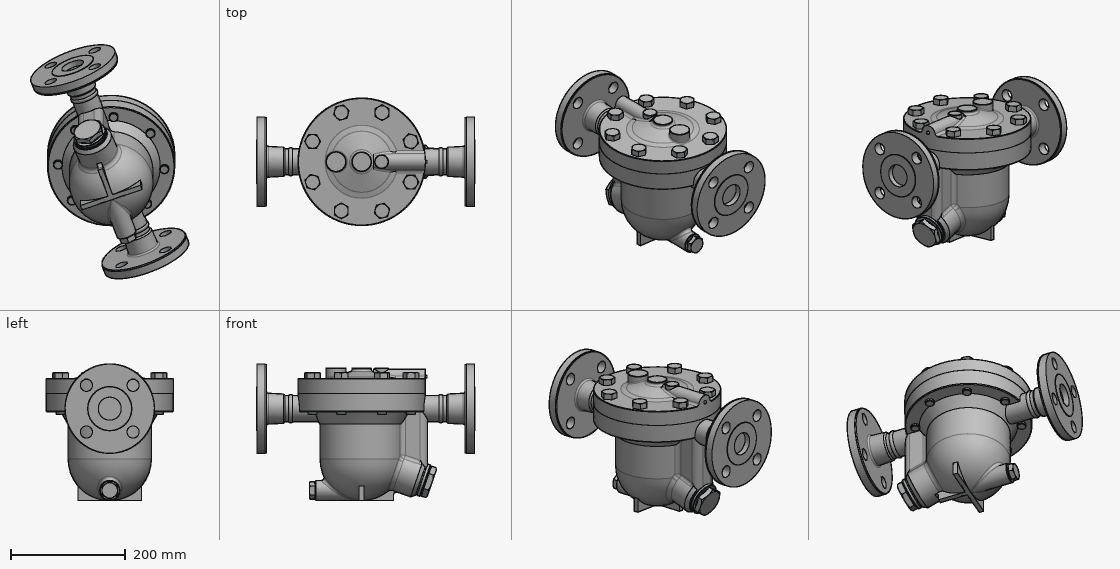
import cadquery as cq
import math


cover_radius = 111.0
cover_top = 52.4
joint_height = 26.4
body_flange_radius = 110.8
cover_rim_chamfer = 1.0
body_flange_bottom = -5.6
body_flange_chamfer = 1.5
body_radius = 72.8
body_floor = -160.0
dome_height = body_floor + body_radius
neck_top_radius = 85.5
neck_bottom = -27.0

cone_foot_radius = 63.5
cone_edge_radius = 53.2
cone_edge_height = cover_top + 2.4
cone_angle = 16.3
plug_top = 71.0
plug_chamfer = 0.8
center_plug_radius = 17.0
center_plug_fillet = 4.0

side_plug_x = -44.6
side_plug_radius = 17.5
side_plug_fillet = 1.5
tube_radius = 14.7
tube_axis_height = cover_top + 1.6
tube_start = 20.2
tube_fillet = 5.0
tube_boss_x = 34.6
tube_boss_radius = 12.0
tube_end_bump_radius = 3.0
tube_end_bump_height = 55.6

bolt_count = 8
bolt_circle_radius = 92.5
bolt_head_flats = 24.0
bolt_head_height = 10.4
bolt_head_turn = -7.5
bolt_radius = 8.0
bolt_end = -10.0
bolt_end_chamfer = 1.0

pipe_mid_x = 7.1
face_to_face = 380.0
flange_radius = 78.0
flange_thickness = 17.6
flange_step = 2.5
flange_step_height = 1.0
raised_face_radius = 38.5
raised_face_height = 0.6
bore_diameter = 40.0
bore_depth = 10.5
flange_hole_count = 4
flange_hole_diameter = 21.0
flange_hole_circle_radius = 57.4
hub_base_radius = 27.1
hub_end_radius = 25.75
hub_end = 46.9
hub_taper_end = 49.7
hub_fillet = 2.9
pipe_radius = 23.0
weld_start = 56.0
weld_end = 62.9
weld_radius = 24.75

riser_half_width = 23.0
riser_end_x = 114.9
riser_end_fillet = 13.2
riser_top_chamfer_height = 11.0
riser_top_chamfer = 4.0
junction_fillet = 10.0

strainer_angle = 19.0
strainer_radius = 35.0
strainer_body_end = 102.0
strainer_shoulder_end = 109.0
strainer_shoulder_radius = 30.0
strainer_gasket_radius = 27.5
strainer_gasket_end = 111.5
strainer_cap_radius = 29.0
strainer_cap_end = 117.0
strainer_neck_radius = 22.5
strainer_hex_start = 119.0
strainer_hex_end = 129.3
strainer_hex_flats = 48.0

drain_radius = 17.5
drain_lift = 0.2
drain_height = body_floor + drain_radius + drain_lift
drain_face_x = -80.0
drain_chamfer = 1.0
drain_fillet = 5.0
drain_neck_radius = 12.0
drain_neck_length = 1.2
drain_hex_flats = 27.0
drain_hex_length = 9.7

foot_thickness = 8.5
foot_height = 26.0
foot_half_span = 55.5
foot_fillet = 5.0


def revolved(profile):
    """Solid of revolution about Z from a closed (radius, height) profile."""
    return profile.close().revolve(360, (0, 0, 0), (0, 1, 0))


def hex_head(across_flats, height):
    """Hexagonal head standing on Z = 0, top corners chamfered at 30 degrees."""
    corner_radius = across_flats / math.sqrt(3)
    corner_drop = (corner_radius - across_flats / 2) * math.tan(math.radians(30))
    prism = cq.Workplane("XY").polygon(6, 2 * corner_radius).extrude(height)
    envelope = revolved(
        cq.Workplane("XZ")
        .lineTo(corner_radius, 0)
        .lineTo(corner_radius, height - corner_drop)
        .lineTo(across_flats / 2, height)
        .lineTo(0, height)
    )
    return prism.intersect(envelope)


def make_bowl():
    """Cylindrical bowl with a hemispherical bottom."""
    dome_diagonal = body_radius * math.sqrt(0.5)
    return revolved(
        cq.Workplane("XZ")
        .moveTo(0, body_floor)
        .threePointArc((dome_diagonal, dome_height - dome_diagonal), (body_radius, dome_height))
        .lineTo(body_radius, joint_height)
        .lineTo(0, joint_height)
    )


def make_body_flange():
    """Bolting flange of the body with its conical neck."""
    return revolved(
        cq.Workplane("XZ")
        .moveTo(0, neck_bottom)
        .lineTo(body_radius, neck_bottom)
        .lineTo(neck_top_radius, body_flange_bottom)
        .lineTo(body_flange_radius - body_flange_chamfer, body_flange_bottom)
        .lineTo(body_flange_radius, body_flange_bottom + body_flange_chamfer)
        .lineTo(body_flange_radius, joint_height)
        .lineTo(0, joint_height)
    )


def make_cover_plate():
    """Cover disc with the flatter conical step around the foot of the cone."""
    return revolved(
        cq.Workplane("XZ")
        .moveTo(0, joint_height)
        .lineTo(cover_radius, joint_height)
        .lineTo(cover_radius, cover_top - cover_rim_chamfer)
        .lineTo(cover_radius - cover_rim_chamfer, cover_top)
        .lineTo(cone_foot_radius, cover_top)
        .lineTo(cone_edge_radius, cone_edge_height)
        .lineTo(cone_edge_radius, joint_height + cone_edge_height - cover_top)
        .lineTo(0, joint_height + cone_edge_height - cover_top)
    )


def make_cone():
    """Cone with the central plug at its peak, running on down inside the cover plate."""
    slope = math.tan(math.radians(cone_angle))
    plug_foot_radius = center_plug_radius + center_plug_fillet
    plug_foot = cone_edge_height + (cone_edge_radius - plug_foot_radius) * slope
    cone_end = cone_edge_height - (cover_radius - cone_edge_radius) * slope
    return revolved(
        cq.Workplane("XZ")
        .moveTo(0, plug_top)
        .lineTo(center_plug_radius - plug_chamfer, plug_top)
        .lineTo(center_plug_radius, plug_top - plug_chamfer)
        .lineTo(center_plug_radius, plug_foot + center_plug_fillet)
        .tangentArcPoint((plug_foot_radius, plug_foot), relative=False)
        .lineTo(cover_radius, cone_end)
        .lineTo(cover_radius, joint_height)
        .lineTo(0, joint_height)
    )


def make_cone_with_tube():
    """Cone with the round-topped tube filleted onto it."""
    tube = (
        cq.Workplane("YZ", origin=(tube_start, 0, 0))
        .moveTo(-tube_radius, joint_height)
        .lineTo(-tube_radius, tube_axis_height)
        .threePointArc((0, tube_axis_height + tube_radius), (tube_radius, tube_axis_height))
        .lineTo(tube_radius, joint_height)
        .close()
        .extrude(cover_radius)
    )
    seam_zone = cq.selectors.BoxSelector(
        (tube_start + tube_fillet, -cover_radius, joint_height),
        (cover_radius, cover_radius, plug_top),
    )
    joined = make_cone().union(tube)
    seams = joined.edges("%BSPLINE or %HYPERBOLA").edges(seam_zone)
    return seams.fillet(tube_fillet)


def make_top_boss(x, radius):
    """Round boss rising from inside the cover to the plug height."""
    boss = cq.Workplane("XY", origin=(x, 0, joint_height)).circle(radius)
    return boss.extrude(plug_top - joint_height).faces(">Z").chamfer(plug_chamfer)


def make_tube_on_flat():
    """Outer stretch of the tube, with concave fillets down to the flat of the cover."""
    fillet_rise = cover_top + tube_fillet - tube_axis_height
    center_distance = tube_radius + tube_fillet
    fillet_y = math.sqrt(center_distance**2 - fillet_rise**2)
    touch_y = fillet_y * tube_radius / center_distance
    touch_z = tube_axis_height + fillet_rise * tube_radius / center_distance
    mid_angle = (math.pi / 2 + math.atan2(fillet_rise, fillet_y)) / 2
    mid_y = fillet_y - tube_fillet * math.cos(mid_angle)
    mid_z = cover_top + tube_fillet - tube_fillet * math.sin(mid_angle)
    return (
        cq.Workplane("YZ", origin=(cone_edge_radius, 0, 0))
        .moveTo(-fillet_y, joint_height)
        .lineTo(-fillet_y, cover_top)
        .threePointArc((-mid_y, mid_z), (-touch_y, touch_z))
        .threePointArc((0, tube_axis_height + tube_radius), (touch_y, touch_z))
        .threePointArc((mid_y, mid_z), (fillet_y, cover_top))
        .lineTo(fillet_y, joint_height)
        .close()
        .extrude(cover_radius)
    )


def make_cover():
    """Cover plate, cone and tube trimmed flush with the rim, with the small bosses on top."""
    rim_limit = (
        cq.Workplane("XY", origin=(0, 0, joint_height))
        .circle(cover_radius)
        .extrude(plug_top - joint_height)
    )
    cover = make_cone_with_tube().union(make_tube_on_flat()).intersect(rim_limit)
    cover = cover.union(make_cover_plate())
    cover = cover.union(make_top_boss(tube_boss_x, tube_boss_radius))
    cover = cover.union(make_top_boss(side_plug_x, side_plug_radius))
    side_plug_zone = cq.selectors.BoxSelector(
        (side_plug_x - side_plug_radius, -side_plug_radius, cover_top),
        (side_plug_x + side_plug_radius, side_plug_radius, plug_top - 2 * plug_chamfer),
    )
    cover = cover.edges(side_plug_zone).edges("not %Line").fillet(side_plug_fillet)
    bump = cq.Workplane("XY").sphere(tube_end_bump_radius)
    return cover.union(bump.translate((cover_radius, 0, tube_end_bump_height)))


def make_cover_bolts():
    """Ring of hexagon bolts whose ends stand out below the body flange."""
    bolt = (
        cq.Workplane("XY", origin=(0, 0, bolt_end))
        .circle(bolt_radius)
        .extrude(cover_top - bolt_end)
        .faces("<Z")
        .chamfer(bolt_end_chamfer)
    )
    head = hex_head(bolt_head_flats, bolt_head_height)
    head = head.rotate((0, 0, 0), (0, 0, 1), 30 + bolt_head_turn)
    bolt = bolt.union(head.translate((0, 0, cover_top)))
    bolt = bolt.translate((bolt_circle_radius, 0, 0))
    pitch = 360 / bolt_count
    bolts = cq.Workplane("XY")
    for i in range(bolt_count):
        bolts = bolts.union(bolt.rotate((0, 0, 0), (0, 0, 1), (i + 0.5) * pitch))
    return bolts


def make_pipe():
    """Flange, hub and pipe along +Z, from the raised face into the body."""
    rim = flange_radius - flange_step_height
    pipe_length = face_to_face / 2 - body_radius / 2
    pipe = revolved(
        cq.Workplane("XZ")
        .lineTo(raised_face_radius - raised_face_height, 0)
        .lineTo(raised_face_radius, raised_face_height)
        .lineTo(flange_radius, raised_face_height)
        .lineTo(flange_radius, flange_thickness - flange_step)
        .lineTo(rim, flange_thickness - flange_step)
        .lineTo(rim, flange_thickness)
        .lineTo(hub_base_radius + hub_fillet, flange_thickness)
        .tangentArcPoint((hub_base_radius, flange_thickness + hub_fillet), relative=False)
        .lineTo(hub_end_radius, hub_end)
        .lineTo(pipe_radius, hub_taper_end)
        .lineTo(pipe_radius, weld_start)
        .threePointArc((weld_radius, (weld_start + weld_end) / 2), (pipe_radius, weld_end))
        .lineTo(pipe_radius, pipe_length)
        .lineTo(0, pipe_length)
    )
    bore = cq.Workplane("XY").circle(bore_diameter / 2).extrude(bore_depth)
    holes = (
        cq.Workplane("XY")
        .polarArray(flange_hole_circle_radius, 45, 360, flange_hole_count)
        .circle(flange_hole_diameter / 2)
        .extrude(flange_thickness)
    )
    return pipe.cut(bore).cut(holes)


def make_pipes():
    """Inlet and outlet pipes, mirror images about the middle of the pipe run."""
    inlet = make_pipe().rotate((0, 0, 0), (0, 1, 0), 90)
    inlet = inlet.translate((-face_to_face / 2, 0, 0))
    outlet = inlet.mirror("YZ")
    return inlet.union(outlet).translate((pipe_mid_x, 0, 0))


def along_strainer(shape):
    """Place a shape built along +Z on the strainer axis."""
    tilted = shape.rotate((0, 0, 0), (0, 1, 0), 90 + strainer_angle)
    return tilted.translate((0, 0, dome_height))


def make_strainer_housing():
    """Round housing slanting down from the dome centre, with a conical shoulder."""
    profile = (
        cq.Workplane("XZ")
        .lineTo(strainer_radius, 0)
        .lineTo(strainer_radius, strainer_body_end)
        .lineTo(strainer_shoulder_radius, strainer_shoulder_end)
        .lineTo(0, strainer_shoulder_end)
    )
    return along_strainer(revolved(profile))


def make_strainer_cap():
    """Gasket, round cap, short neck and hexagon closing the strainer."""
    gasket = cq.Workplane("XY").circle(strainer_gasket_radius).extrude(strainer_gasket_end)
    cap = (
        cq.Workplane("XY", origin=(0, 0, strainer_gasket_end))
        .circle(strainer_cap_radius)
        .extrude(strainer_cap_end - strainer_gasket_end)
        .faces(">Z")
        .chamfer(plug_chamfer)
    )
    neck = cq.Workplane("XY").circle(strainer_neck_radius).extrude(strainer_hex_start)
    head = hex_head(strainer_hex_flats, strainer_hex_end - strainer_hex_start)
    head = head.translate((0, 0, strainer_hex_start))
    return along_strainer(gasket.union(cap).union(neck).union(head))


def make_riser():
    """Upright passage with a rounded outer end, standing on the strainer housing."""
    slope = math.tan(math.radians(strainer_angle))
    riser_bottom = dome_height - riser_end_x * slope
    riser = (
        cq.Workplane("XY", origin=(0, 0, riser_bottom))
        .rect(2 * riser_end_x, 2 * riser_half_width)
        .extrude(body_flange_bottom - riser_bottom)
        .edges("|Z and >X")
        .fillet(riser_end_fillet)
    )
    right_half = cq.Workplane("XY").box(
        riser_end_x, 2 * cover_radius, 2 * face_to_face, centered=(False, True, True)
    )
    corner = (
        cq.Workplane("XZ")
        .moveTo(riser_end_x, body_flange_bottom)
        .lineTo(riser_end_x - riser_top_chamfer, body_flange_bottom)
        .lineTo(riser_end_x, body_flange_bottom - riser_top_chamfer_height)
        .close()
        .extrude(riser_half_width, both=True)
    )
    return riser.intersect(right_half).cut(corner)


def make_drain_boss():
    """Horizontal round boss low on the bowl."""
    boss = cq.Workplane("YZ", origin=(drain_face_x, 0, drain_height)).circle(drain_radius)
    return boss.extrude(-drain_face_x).faces("<X").chamfer(drain_chamfer)


def make_drain_plug():
    """Hexagon plug on a short neck, closing the drain boss."""
    neck = cq.Workplane("XY").circle(drain_neck_radius).extrude(drain_neck_length)
    head = hex_head(drain_hex_flats, drain_hex_length).translate((0, 0, drain_neck_length))
    plug = neck.union(head).rotate((0, 0, 0), (0, 1, 0), -90)
    return plug.translate((drain_face_x, 0, drain_height))


def make_feet():
    """Plate across Y, and a single foot whose outer end curves into the strainer housing."""
    cross_plate = (
        cq.Workplane("XY", origin=(0, 0, body_floor))
        .rect(foot_thickness, 2 * foot_half_span)
        .extrude(foot_height)
    )
    tilt = math.radians(strainer_angle)
    arc_x = foot_half_span + foot_fillet
    arc_drop = arc_x * math.tan(tilt) + (strainer_radius + foot_fillet) / math.cos(tilt)
    arc_z = dome_height - arc_drop
    touch = (arc_x + foot_fillet * math.sin(tilt), arc_z + foot_fillet * math.cos(tilt))
    mid_angle = (math.pi + math.pi / 2 - tilt) / 2
    middle = (arc_x + foot_fillet * math.cos(mid_angle), arc_z + foot_fillet * math.sin(mid_angle))
    outer_foot = (
        cq.Workplane("XZ")
        .moveTo(0, body_floor)
        .lineTo(foot_half_span, body_floor)
        .lineTo(foot_half_span, arc_z)
        .threePointArc(middle, touch)
        .lineTo(touch[0], dome_height)
        .lineTo(0, dome_height)
        .close()
        .extrude(foot_thickness / 2, both=True)
    )
    return cross_plate.union(outer_foot)


def make_casting():
    """Bowl, riser, strainer housing and drain boss with blended seams, and the body flange."""
    casting = make_bowl().union(make_riser()).union(make_strainer_housing())
    junction_zone = cq.selectors.BoxSelector(
        (foot_half_span, -body_radius / 2, body_floor),
        (riser_end_x - 2 * riser_end_fillet, body_radius / 2, body_flange_bottom - 1),
    )
    casting = casting.edges(junction_zone).fillet(junction_fillet)
    casting = casting.union(make_drain_boss())
    drain_zone = cq.selectors.BoxSelector(
        (drain_face_x + 2 * drain_chamfer, -drain_radius, body_floor),
        (0, drain_radius, drain_height + drain_radius),
    )
    casting = casting.edges(drain_zone).edges("not %Line").fillet(drain_fillet)
    return casting.union(make_body_flange())


result = (
    make_casting()
    .union(make_cover())
    .union(make_cover_bolts())
    .union(make_pipes())
    .union(make_strainer_cap())
    .union(make_drain_plug())
    .union(make_feet())
)